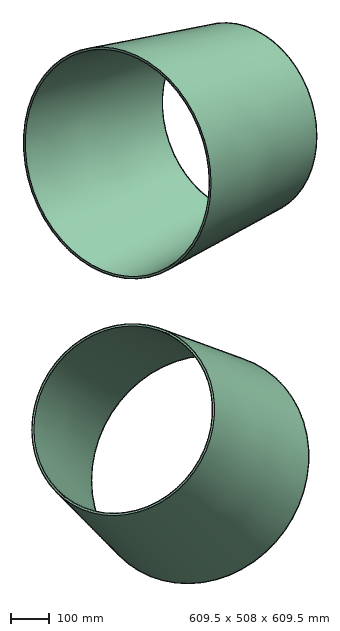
import cadquery as cq

large_diameter = 609.5
small_diameter = 508.0
length = 508.0
wall = 6.0

large_radius = large_diameter / 2
small_radius = small_diameter / 2
front_y = -length / 2
back_y = length / 2

wall_section = (
    cq.Workplane("XY")
    .moveTo(large_radius - wall, front_y)
    .lineTo(large_radius, front_y)
    .lineTo(small_radius, back_y)
    .lineTo(small_radius - wall, back_y)
    .close()
)

result = wall_section.revolve(360, (0, 0, 0), (0, 1, 0))